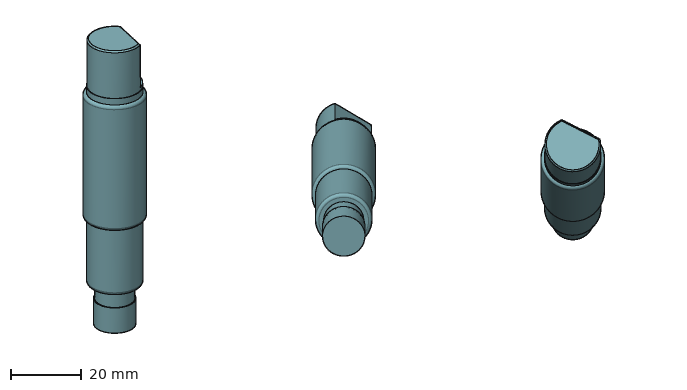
import cadquery as cq

end_diameter = 12.0
neck_diameter = 11.4
body_diameter = 18.0
shoulder_radius = 1.0
lower_diameter = body_diameter - 2 * shoulder_radius
collar_diameter = lower_diameter
head_diameter = 15.7

end_top = 8.1
neck_top = 13.0
lower_top = 34.0
body_top = 73.9
collar_top = 75.9
total_height = 90.9

head_bevel = 0.45
flat_offset = 5.0
flat_bottom = 77.0


def cylinder(diameter, bottom, top):
    """Vertical cylinder about the Z axis between two heights."""
    return cq.Workplane("XY").workplane(offset=bottom).circle(diameter / 2).extrude(top - bottom)


def flatted_head():
    """Head with a flat on its +Y side and a bevelled top edge."""
    head = cylinder(head_diameter, collar_top, total_height)
    flat_depth = head_diameter / 2 - flat_offset
    flat_cutter = (
        cq.Workplane("XY")
        .box(head_diameter, flat_depth, total_height - flat_bottom, centered=(True, False, False))
        .translate((0, flat_offset, flat_bottom))
    )
    return head.cut(flat_cutter).faces(">Z").edges().chamfer(head_bevel)


plain_end = cylinder(end_diameter, 0, end_top)
neck = cylinder(neck_diameter, end_top, neck_top)
lower = cylinder(lower_diameter, neck_top, lower_top).faces("<Z").edges().fillet(shoulder_radius)
body = cylinder(body_diameter, lower_top, body_top)
body = body.faces("<Z or >Z").edges().fillet(shoulder_radius)
collar = cylinder(collar_diameter, body_top, collar_top)

result = plain_end.union(neck).union(lower).union(body).union(collar).union(flatted_head())